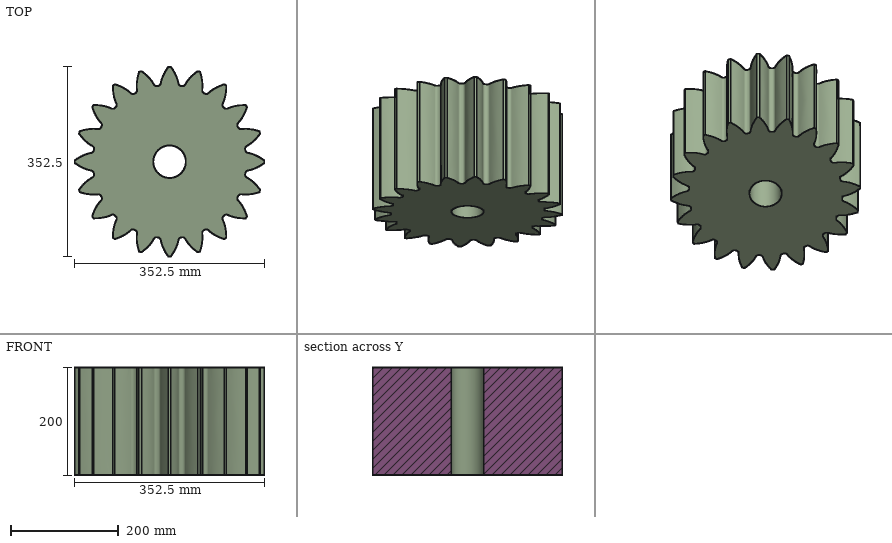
import cadquery as cq
import math

tooth_count = 20
module = 15.0
pressure_angle = math.radians(20.0)
profile_shift = 0.75
addendum_factor = 1.0
dedendum_factor = 1.25
face_width = 200.0
bore_diameter = 60.0
root_fillet_radius = 0.38 * module
flank_points = 7

pitch_radius = module * tooth_count / 2
base_radius = pitch_radius * math.cos(pressure_angle)
tip_radius = pitch_radius + (addendum_factor + profile_shift) * module
root_radius = pitch_radius - (dedendum_factor - profile_shift) * module
tooth_pitch = 2 * math.pi / tooth_count
pitch_thickness = module * (math.pi / 2 + 2 * profile_shift * math.tan(pressure_angle))


def involute_angle(radius):
    """Polar angle swept by the involute between the base circle and a radius."""
    roll = math.acos(base_radius / radius)
    return math.tan(roll) - roll


base_half_angle = pitch_thickness / (2 * pitch_radius) + involute_angle(pitch_radius)

fillet_centre_radius = root_radius + root_fillet_radius
fillet_centre_angle = (
    base_half_angle + root_fillet_radius / base_radius - involute_angle(fillet_centre_radius)
)
flank_start_tangent = math.sqrt(fillet_centre_radius**2 - base_radius**2) - root_fillet_radius
flank_start_radius = math.hypot(base_radius, flank_start_tangent)


def polar(radius, angle):
    """Point at a radius and angle about the gear axis."""
    return (radius * math.cos(angle), radius * math.sin(angle))


def flank_half_angle(radius):
    """Angle between a tooth's centre line and its flank at a radius."""
    return base_half_angle - involute_angle(radius)


def flank(tooth_angle, side):
    """Points of one flank from its fillet to the tip; side is -1 or +1."""
    step = (tip_radius - flank_start_radius) / (flank_points - 1)
    radii = [flank_start_radius + i * step for i in range(flank_points)]
    return [polar(r, tooth_angle + side * flank_half_angle(r)) for r in radii]


def fillet_middle(tooth_angle, side):
    """Point halfway along the root fillet on one side of a tooth."""
    centre_angle = tooth_angle + side * fillet_centre_angle
    centre = polar(fillet_centre_radius, centre_angle)
    root_end = polar(root_radius, centre_angle)
    flank_end = polar(flank_start_radius, tooth_angle + side * flank_half_angle(flank_start_radius))
    toward_x = root_end[0] + flank_end[0] - 2 * centre[0]
    toward_y = root_end[1] + flank_end[1] - 2 * centre[1]
    scale = root_fillet_radius / math.hypot(toward_x, toward_y)
    return (centre[0] + scale * toward_x, centre[1] + scale * toward_y)


def add_tooth(outline, tooth_angle):
    """Continue the outline over one tooth and across the root to the next tooth."""
    rising = flank(tooth_angle, -1)
    falling = flank(tooth_angle, 1)[::-1]
    root_start = polar(root_radius, tooth_angle + fillet_centre_angle)
    root_middle = polar(root_radius, tooth_angle + tooth_pitch / 2)
    root_end = polar(root_radius, tooth_angle + tooth_pitch - fillet_centre_angle)
    return (
        outline.threePointArc(fillet_middle(tooth_angle, -1), rising[0])
        .spline(rising[1:], includeCurrent=True)
        .threePointArc(polar(tip_radius, tooth_angle), falling[0])
        .spline(falling[1:], includeCurrent=True)
        .threePointArc(fillet_middle(tooth_angle, 1), root_start)
        .threePointArc(root_middle, root_end)
    )


def make_gear_blank():
    outline = cq.Workplane("XY").moveTo(*polar(root_radius, -fillet_centre_angle))
    for tooth in range(tooth_count):
        outline = add_tooth(outline, tooth * tooth_pitch)
    return outline.close().extrude(face_width)


def cut_bore(gear):
    bore = cq.Workplane("XY").circle(bore_diameter / 2).extrude(face_width)
    return gear.cut(bore)


result = cut_bore(make_gear_blank())